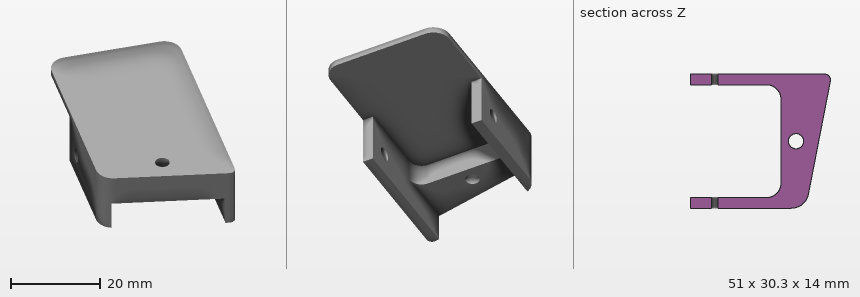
import cadquery as cq
import math

length = 51.0
width = 30.25
height = 14.0

plate_thickness = 1.6
corner_radius = 4.05
tip_radius = 1.4
slant_angle = 11.0
back_edge_end = length + tip_radius * (math.tan(math.radians(45 + slant_angle / 2)) - 1)
front_edge_end = back_edge_end - width * math.tan(math.radians(slant_angle))

wall_start = 19.4
wall_thickness = 2.5
block_height = 7.15
block_start = 39.8
inner_radius = 3.2

side_hole_diameter = 3.3
side_hole_x = 24.95
side_hole_z = 5.5
top_hole_diameter = 3.3
top_hole_x = 43.2
top_hole_y = width / 2


def outline_prism(bottom):
    """Rounded plate outline extruded from the given level up to the top."""
    prism = (
        cq.Workplane("XY", origin=(0, 0, bottom))
        .polyline([(0, 0), (front_edge_end, 0), (back_edge_end, width), (0, width)])
        .close()
        .extrude(height - bottom)
    )
    prism = prism.edges("|Z and (<X or <Y)").fillet(corner_radius)
    return prism.edges("|Z and >X").fillet(tip_radius)


def box(x_start, x_end, y_start, y_end, top):
    """Rectangular block standing on the base level."""
    return cq.Workplane("XY").box(
        x_end - x_start, y_end - y_start, top, centered=False
    ).translate((x_start, y_start, 0))


body = outline_prism(0).cut(box(0, wall_start, 0, width, height - plate_thickness))

pocket = box(
    wall_start, block_start, wall_thickness, width - wall_thickness, height - plate_thickness
).edges("|Z and >X").fillet(inner_radius)

clearance = box(
    wall_start, back_edge_end, wall_thickness, width - wall_thickness, height - block_height
)
body = body.cut(pocket).cut(clearance)

side_hole = (
    cq.Workplane("XZ", origin=(side_hole_x, 0, side_hole_z))
    .circle(side_hole_diameter / 2)
    .extrude(-width)
)

top_hole = (
    cq.Workplane("XY", origin=(top_hole_x, top_hole_y, 0))
    .circle(top_hole_diameter / 2)
    .extrude(height)
)

result = body.cut(side_hole).cut(top_hole)